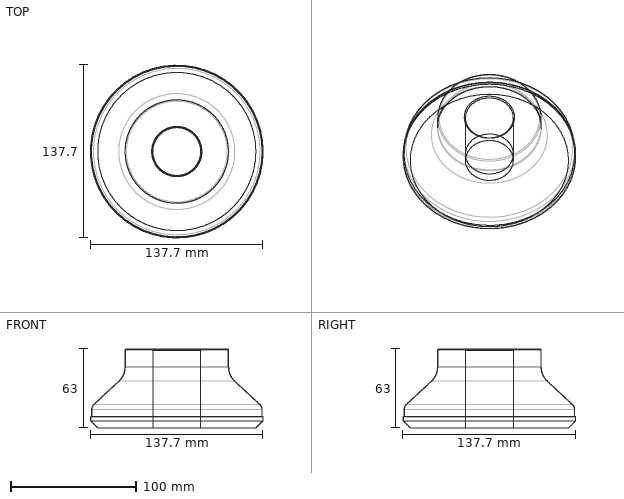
import cadquery as cq
import math

total_height = 63.01
bore_radius = 38.11 / 2
rim_radius = 136.0 / 2

ring_radius = 137.74 / 2
ring_chamfer = 5.8
ring_height = 9.4
lip_overhang = ring_radius - rim_radius

rim_top = 15.0
rim_fillet = 5.0
neck_base_radius = 82.89 / 2
neck_top = 48.4
neck_fillet = 15.0
hub_radius = 82.39 / 2
hub_base = 49.2
hub_edge_fillet = 1.0
bore_chamfer = 1.0


def arc_point(center_radius, center_height, arc_radius, angle):
    """Point of an arc in the turned outline, at an angle counted from the outward direction."""
    return (
        center_radius + arc_radius * math.cos(angle),
        center_height + arc_radius * math.sin(angle),
    )


def turn(outline):
    """Revolve a closed radius-height outline about the Z axis."""
    return outline.revolve(360, (0, 0, 0), (0, 1, 0))


def flare_angle():
    """Angle from vertical of the cone that is tangent to both the rim fillet and the neck fillet."""
    run = (rim_radius - rim_fillet) - (neck_base_radius + neck_fillet)
    rise = neck_top - rim_top
    return math.asin((rim_fillet + neck_fillet) / math.hypot(run, rise)) + math.atan2(run, rise)


def make_base_ring():
    lip_arc_middle = arc_point(rim_radius, ring_height - lip_overhang, lip_overhang, math.pi / 4)
    outline = (
        cq.Workplane("XZ")
        .moveTo(bore_radius, 0)
        .lineTo(ring_radius - ring_chamfer, 0)
        .lineTo(ring_radius, ring_chamfer)
        .lineTo(ring_radius, ring_height - lip_overhang)
        .threePointArc(lip_arc_middle, (rim_radius, ring_height))
        .lineTo(bore_radius, ring_height)
        .close()
    )
    return turn(outline)


def make_housing():
    flare = flare_angle()
    rim_arc = (rim_radius - rim_fillet, rim_top, rim_fillet)
    neck_arc = (neck_base_radius + neck_fillet, neck_top, neck_fillet)
    hub_edge_arc = (hub_radius - hub_edge_fillet, total_height - hub_edge_fillet, hub_edge_fillet)
    outline = (
        cq.Workplane("XZ")
        .moveTo(bore_radius, ring_height)
        .lineTo(rim_radius, ring_height)
        .lineTo(rim_radius, rim_top)
        .threePointArc(arc_point(*rim_arc, flare / 2), arc_point(*rim_arc, flare))
        .lineTo(*arc_point(*neck_arc, math.pi + flare))
        .threePointArc(arc_point(*neck_arc, math.pi + flare / 2), (neck_base_radius, neck_top))
        .lineTo(hub_radius, hub_base)
        .lineTo(hub_radius, total_height - hub_edge_fillet)
        .threePointArc(arc_point(*hub_edge_arc, math.pi / 4), arc_point(*hub_edge_arc, math.pi / 2))
        .lineTo(bore_radius + bore_chamfer, total_height)
        .lineTo(bore_radius, total_height - bore_chamfer)
        .close()
    )
    return turn(outline)


base_ring = make_base_ring()
housing = make_housing()
result = cq.Compound.makeCompound([housing.val(), base_ring.val()])